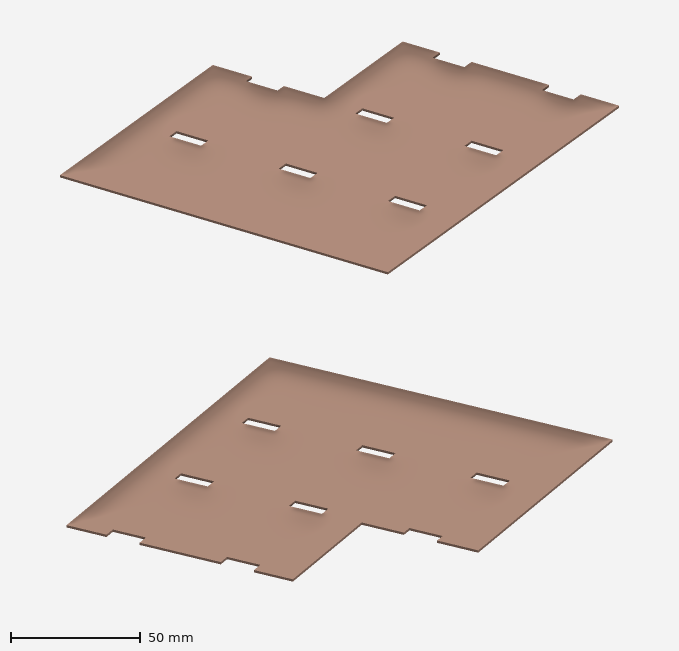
import cadquery as cq

width = 150.0
length = 165.0
thickness = 1.0

step_width = 51.0
shoulder_height = 109.0

slot_width = 14.5
slot_height = 5.1
first_column = 25.2
column_pitch = 50.0
column_centers = [first_column + column_pitch * i for i in range(3)]
lower_row_bottom = 50.0
upper_row_bottom = 104.6
top_notch_bottom = 159.9


def cutter(center_x, bottom, height):
    """Rectangular through-cut, centred on a column and rising from its bottom edge."""
    return cq.Workplane("XY").box(
        slot_width, height, thickness, centered=(True, False, False)
    ).translate((center_x, bottom, 0))


result = (
    cq.Workplane("XY")
    .polyline([
        (0, 0),
        (width, 0),
        (width, length),
        (step_width, length),
        (step_width, shoulder_height),
        (0, shoulder_height),
    ])
    .close()
    .extrude(thickness)
)

for center_x in column_centers:
    result = result.cut(cutter(center_x, lower_row_bottom, slot_height))

for center_x in column_centers[1:]:
    result = result.cut(cutter(center_x, upper_row_bottom, slot_height))

result = result.cut(cutter(column_centers[0], upper_row_bottom, shoulder_height - upper_row_bottom))
for center_x in column_centers[1:]:
    result = result.cut(cutter(center_x, top_notch_bottom, length - top_notch_bottom))